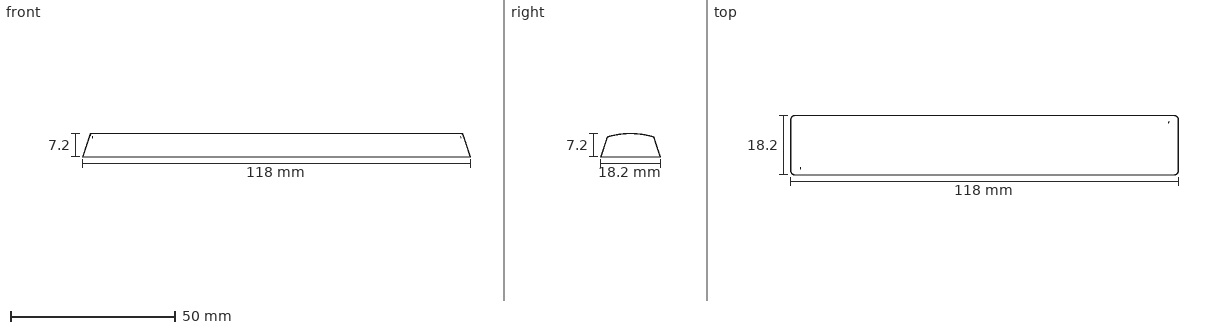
import cadquery as cq

length = 118.0
width = 18.2
height = 7.2

wall_lean = 2.4

shoulder_height = 6.1

base_corner_radius = 1.4
top_corner_radius = 1.0
rim_radius = 0.6


def rounded_rectangle(size_x, size_y, radius):
    """Rectangle centred on the origin with rounded corners."""
    return cq.Sketch().rect(size_x, size_y).vertices().fillet(radius)


def tapered_body():
    """Block with four leaning walls and upright corners that sharpen towards the top."""
    base = rounded_rectangle(length, width, base_corner_radius)
    top = rounded_rectangle(length - 2 * wall_lean, width - 2 * wall_lean, top_corner_radius)
    return cq.Workplane("XY").placeSketch(base, top.moved(cq.Location((0, 0, height)))).loft()


def dome_envelope():
    """Prism along X whose arched top face crowns the body."""
    half_width = width / 2
    shoulder_half_width = half_width - wall_lean * shoulder_height / height
    crown_drop = height - shoulder_height
    crown_radius = (shoulder_half_width**2 + crown_drop**2) / (2 * crown_drop)
    arc_center = height - crown_radius
    edge_height = arc_center + (crown_radius**2 - half_width**2) ** 0.5
    return (
        cq.Workplane("YZ")
        .moveTo(-half_width, 0)
        .lineTo(-half_width, edge_height)
        .threePointArc((0, height), (half_width, edge_height))
        .lineTo(half_width, 0)
        .close()
        .extrude(length / 2, both=True)
    )


domed_body = tapered_body().intersect(dome_envelope())
result = domed_body.faces(">Z").edges().fillet(rim_radius)